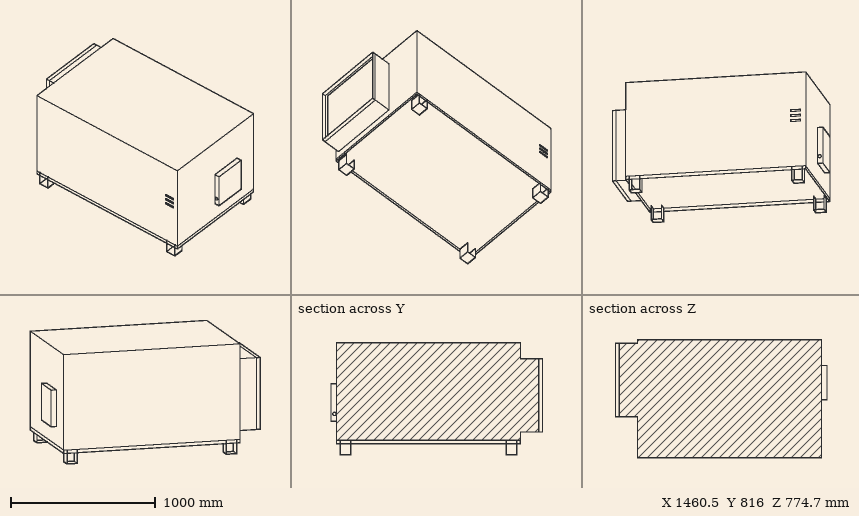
import cadquery as cq

SHEET = 2.0

CABINET_LENGTH = 1270.0
CABINET_DEPTH = 815.98
CABINET_HEIGHT = 698.5
SKIRT_HEIGHT = 23.8

DUCT_SIZE = 508.0
DUCT_LENGTH = 152.4
DUCT_BACK_GAP = 25.4
DUCT_TOP_GAP = 110.0
COLLAR_DEPTH = 25.4
FLANGE_WIDTH = 25.4
PANEL_SETBACK = SHEET

FOOT_WIDTH = 76.2
FOOT_LENGTH = 77.8
FOOT_CLEARANCE = 76.2
FOOT_END_INSET = 24.0
FOOT_WALL = 3.0

BOX_PROJECTION = 38.1
BOX_WIDTH = 238.0
BOX_HEIGHT = 260.0
BOX_BACK_GAP = 178.0
BOX_TOP_GAP = 284.0
CABLE_HOLE_DIAMETER = 22.2
CABLE_HOLE_OFFSET = 14.0
CABLE_HOLE_HEIGHT = 52.0

VENT_COUNT = 3
VENT_LENGTH = 70.0
VENT_HEIGHT = 12.7
VENT_DEPTH = SHEET
VENT_PITCH = 36.0
VENT_END_GAP = 36.0
VENT_TOP_GAP = 273.0

CABINET_LEFT = DUCT_LENGTH
CABINET_RIGHT = CABINET_LEFT + CABINET_LENGTH
CABINET_BOTTOM = FOOT_CLEARANCE
CABINET_TOP = CABINET_BOTTOM + CABINET_HEIGHT
FLOOR_LEVEL = CABINET_BOTTOM + SKIRT_HEIGHT


def block(x, y, z, length, depth, height):
    """Box with its lowest corner at (x, y, z)."""
    return cq.Workplane("XY").box(length, depth, height, centered=False).translate((x, y, z))


def cabinet():
    """Cabinet body whose floor is raised inside a thin skirt."""
    body = block(CABINET_LEFT, 0, CABINET_BOTTOM, CABINET_LENGTH, CABINET_DEPTH, CABINET_HEIGHT)
    under_floor = block(
        CABINET_LEFT + SHEET,
        SHEET,
        CABINET_BOTTOM,
        CABINET_LENGTH - 2 * SHEET,
        CABINET_DEPTH - 2 * SHEET,
        SKIRT_HEIGHT,
    )
    return body.cut(under_floor)


def duct():
    """Square duct with a thin collar, a flange set back inside it and a closing panel."""
    y = CABINET_DEPTH - DUCT_BACK_GAP - DUCT_SIZE
    z = CABINET_TOP - DUCT_TOP_GAP - DUCT_SIZE
    body = block(0, y, z, DUCT_LENGTH, DUCT_SIZE, DUCT_SIZE)
    mouth_size = DUCT_SIZE - 2 * SHEET
    mouth = block(0, y + SHEET, z + SHEET, COLLAR_DEPTH, mouth_size, mouth_size)
    opening_size = DUCT_SIZE - 2 * FLANGE_WIDTH
    opening = block(
        COLLAR_DEPTH,
        y + FLANGE_WIDTH,
        z + FLANGE_WIDTH,
        PANEL_SETBACK,
        opening_size,
        opening_size,
    )
    return body.cut(mouth).cut(opening)


def foot(x, y):
    """Short square tube, open along Y, fixed under the cabinet floor."""
    tube = block(x, y, 0, FOOT_WIDTH, FOOT_LENGTH, FLOOR_LEVEL)
    bore = block(
        x + FOOT_WALL,
        y,
        FOOT_WALL,
        FOOT_WIDTH - 2 * FOOT_WALL,
        FOOT_LENGTH,
        FLOOR_LEVEL - FOOT_WALL,
    )
    return tube.cut(bore)


def control_box():
    """Thin-walled box with a cable hole in its front wall."""
    y = CABINET_DEPTH - BOX_BACK_GAP - BOX_WIDTH
    z = CABINET_TOP - BOX_TOP_GAP - BOX_HEIGHT
    shell = block(CABINET_RIGHT, y, z, BOX_PROJECTION, BOX_WIDTH, BOX_HEIGHT)
    cavity = block(
        CABINET_RIGHT,
        y + SHEET,
        z + SHEET,
        BOX_PROJECTION - SHEET,
        BOX_WIDTH - 2 * SHEET,
        BOX_HEIGHT - 2 * SHEET,
    )
    hole_centre = (CABINET_RIGHT + CABLE_HOLE_OFFSET, y + SHEET, z + CABLE_HOLE_HEIGHT)
    cable_hole = (
        cq.Workplane("XZ", origin=hole_centre)
        .circle(CABLE_HOLE_DIAMETER / 2)
        .extrude(SHEET)
    )
    return shell.cut(cavity).cut(cable_hole)


def vents():
    """Stack of shallow horizontal slots to be cut from the cabinet front."""
    x = CABINET_RIGHT - VENT_END_GAP - VENT_LENGTH
    top_vent = CABINET_TOP - VENT_TOP_GAP
    slots = cq.Workplane("XY")
    for row in range(VENT_COUNT):
        z = top_vent - VENT_HEIGHT / 2 - row * VENT_PITCH
        slots = slots.add(block(x, 0, z, VENT_LENGTH, VENT_DEPTH, VENT_HEIGHT))
    return slots.combine()


result = cabinet().cut(vents()).union(duct()).union(control_box())
for foot_x in (CABINET_LEFT + FOOT_END_INSET, CABINET_RIGHT - FOOT_END_INSET - FOOT_WIDTH):
    for foot_y in (SHEET, CABINET_DEPTH - SHEET - FOOT_LENGTH):
        result = result.union(foot(foot_x, foot_y))